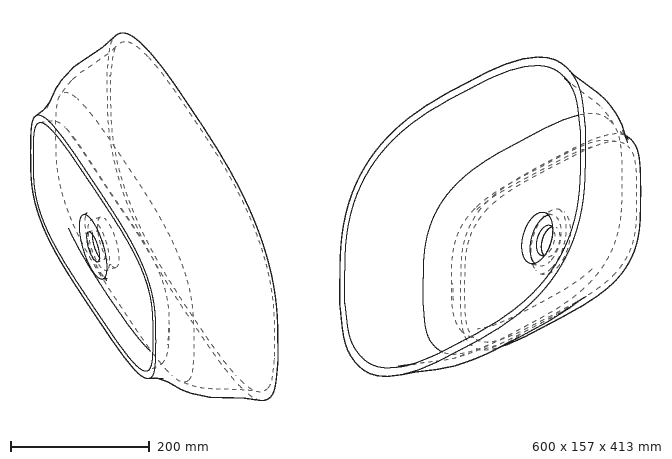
import cadquery as cq
import math


HEIGHT = 157.0
WALL = 12.0
RIM_POWER = 2.86
FOOT_POWER = 3.55

OUTER_PROFILE = [
    (0.0, 220.0, 127.5),
    (10.0, 224.5, 130.0),
    (20.0, 229.0, 133.5),
    (30.0, 235.5, 140.5),
    (40.0, 245.0, 150.0),
    (50.0, 255.0, 159.0),
    (60.0, 262.5, 166.0),
    (75.0, 272.0, 174.5),
    (95.0, 280.0, 182.0),
    (115.0, 284.5, 189.5),
    (135.0, 290.5, 197.5),
    (147.0, 294.5, 202.5),
    (HEIGHT, 300.0, 206.5),
]

RECESS_POWER = 3.65
RECESS_LENGTH = 210.0
RECESS_WIDTH = 116.0
RECESS_WALL_DEPTH = 12.5
RECESS_END_RISE = 7.5
RECESS_DRAFT = 2.0
RECESS_FILLET = 10.5
FILLET_STEPS = 4
FLOOR_END_Y = RECESS_WALL_DEPTH + RECESS_END_RISE + RECESS_FILLET
FLOOR_CENTRE_Y = 12.0

BOSS_RADIUS = 48.5
BOSS_FILLET = 8.5
BOSS_BASE_RADIUS = BOSS_RADIUS + BOSS_FILLET
DRAIN_RADIUS = 22.5
DRAIN_THICKNESS = 9.0
SEAT_RADIUS = 38.0

FLOOR_THICKNESS = 12.0
BOWL_FLOOR_CENTRE_Y = FLOOR_CENTRE_Y + FLOOR_THICKNESS

CURVE_SEGMENTS = 16
OUTER_SEAM = 0.0
RECESS_SEAM = math.pi / 2


def section_wire(y, half_length, half_width, power, start, rise=0.0):
    """Superellipse outline made of two halves that meet at the start angle.

    It lies at height y on its long sides and climbs smoothly by rise to its short ends.
    """

    def point(angle):
        cosine = math.cos(angle)
        sine = math.sin(angle)
        radius = (abs(cosine) ** power + abs(sine) ** power) ** (-1.0 / power)
        return cq.Vector(half_length * radius * cosine, y + rise * cosine**2, half_width * radius * sine)

    def half(first):
        points = [point(first + math.pi * i / CURVE_SEGMENTS) for i in range(CURVE_SEGMENTS + 1)]
        tangent = cq.Vector(-math.sin(first), 0, math.cos(first))
        return cq.Edge.makeSpline(points, tangents=[tangent, -tangent])

    return cq.Wire.assembleEdges([half(start), half(start + math.pi)])


def circle_wire(y, radius, start):
    """Circle at height y, split into two halves that meet at the start angle."""
    angles = [start + i * math.pi / 2 for i in range(4)]
    corners = [cq.Vector(radius * math.cos(angle), y, radius * math.sin(angle)) for angle in angles]
    return cq.Wire.assembleEdges(
        [
            cq.Edge.makeThreePointArc(corners[0], corners[1], corners[2]),
            cq.Edge.makeThreePointArc(corners[2], corners[3], corners[0]),
        ]
    )


def wall_faces(wires):
    """Smooth side surface through a stack of outlines, without end caps."""
    return [face for face in cq.Solid.makeLoft(wires).Faces() if face.geomType() != "PLANE"]


def outer_power(y):
    return RIM_POWER + (FOOT_POWER - RIM_POWER) * (1 - y / HEIGHT) ** 2


def floor_faces(edge, centre_y, centre_radius, seam):
    """Shallow funnel between a superellipse edge and a flat disc around the drain."""
    centre = circle_wire(centre_y, centre_radius, seam)
    return wall_faces([edge, centre]) + [cq.Face.makeFromWires(centre)]


def recess_faces(opening):
    """Hollow under the basin: drafted wall, filleted corner, floor falling to the drain boss."""
    length = RECESS_LENGTH - RECESS_DRAFT
    width = RECESS_WIDTH - RECESS_DRAFT
    fillet_wires = []
    for i in range(FILLET_STEPS + 1):
        angle = math.pi / 2 * i / FILLET_STEPS
        inset = RECESS_FILLET * (1 - math.cos(angle))
        y = RECESS_WALL_DEPTH + RECESS_FILLET * math.sin(angle)
        fillet_wires.append(
            section_wire(y, length - inset, width - inset, RECESS_POWER, RECESS_SEAM, RECESS_END_RISE)
        )
    floor = floor_faces(fillet_wires[-1], FLOOR_CENTRE_Y, BOSS_BASE_RADIUS, RECESS_SEAM)
    return wall_faces([opening, fillet_wires[0]]) + wall_faces(fillet_wires) + floor


def basin_shell():
    """Closed skin of the basin: outer wall, foot and rim rings, recess below and bowl above."""
    outer_wires = [section_wire(y, a, b, outer_power(y), OUTER_SEAM) for y, a, b in OUTER_PROFILE]

    lowest = FLOOR_END_Y + FLOOR_THICKNESS
    bowl_profile = [(y, a - WALL, b - WALL) for y, a, b in OUTER_PROFILE if y > lowest]
    bowl_wires = [section_wire(y, a, b, outer_power(y), OUTER_SEAM) for y, a, b in bowl_profile]
    bowl_floor = floor_faces(bowl_wires[0], BOWL_FLOOR_CENTRE_Y, SEAT_RADIUS, OUTER_SEAM)

    recess_opening = section_wire(0, RECESS_LENGTH, RECESS_WIDTH, RECESS_POWER, RECESS_SEAM)
    foot_ring = cq.Face.makeFromWires(outer_wires[0], [recess_opening])
    rim_ring = cq.Face.makeFromWires(outer_wires[-1], [bowl_wires[-1]])

    faces = wall_faces(outer_wires) + wall_faces(bowl_wires) + bowl_floor
    faces += recess_faces(recess_opening) + [foot_ring, rim_ring]
    return cq.Workplane(obj=cq.Solid.makeSolid(cq.Shell.makeShell(faces)).fix())


def drain_boss():
    """Round boss level with the foot, blended into the recess floor by a concave fillet."""
    blend_y = FLOOR_CENTRE_Y - BOSS_FILLET
    sag = BOSS_FILLET * (1 - math.sqrt(0.5))
    return (
        cq.Workplane("XY")
        .lineTo(BOSS_RADIUS, 0)
        .lineTo(BOSS_RADIUS, blend_y)
        .threePointArc((BOSS_RADIUS + sag, FLOOR_CENTRE_Y - sag), (BOSS_BASE_RADIUS, FLOOR_CENTRE_Y))
        .lineTo(BOSS_BASE_RADIUS, BOWL_FLOOR_CENTRE_Y)
        .lineTo(0, BOWL_FLOOR_CENTRE_Y)
        .close()
        .revolve(360, (0, 0, 0), (0, 1, 0))
    )


def round_hole(radius, y_start, y_end):
    """Cylinder along +Y about the drain axis."""
    return cq.Workplane("XZ", origin=(0, y_start, 0)).circle(radius).extrude(y_start - y_end)


result = (
    basin_shell()
    .union(drain_boss())
    .cut(round_hole(SEAT_RADIUS, DRAIN_THICKNESS, BOWL_FLOOR_CENTRE_Y))
    .cut(round_hole(DRAIN_RADIUS, 0, DRAIN_THICKNESS))
)